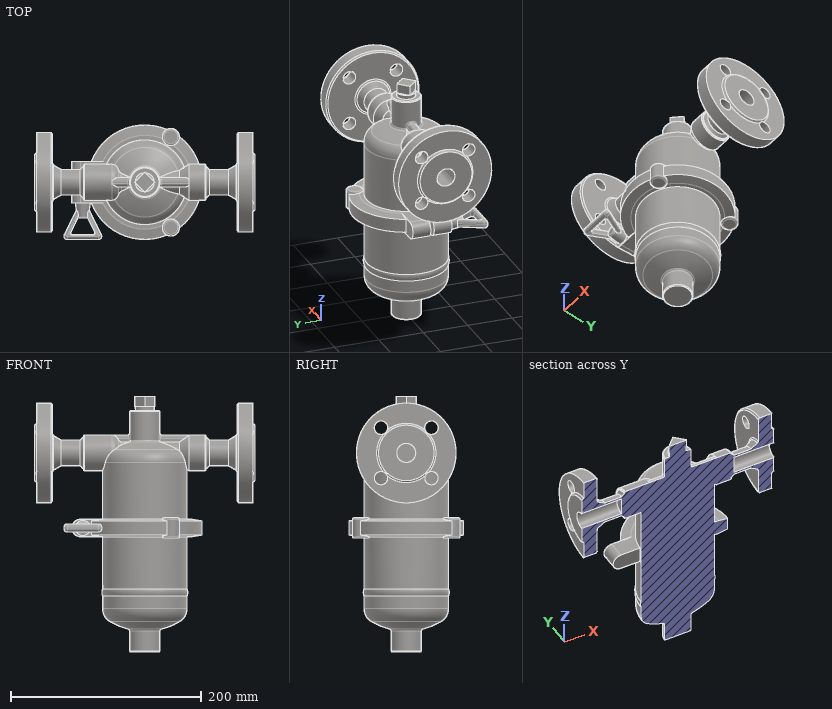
import cadquery as cq
import math


vessel_r = 89 / 2
knuckle_r = 16.0
crown_r = 72.0
top_tangent_z = -10.3
bottom_tangent_z = -163.7
nozzle_r = 32 / 2
nozzle_top_z = 44.5
nozzle_bottom_z = -209.5
nozzle_chamfer = 1.0
nozzle_fillet = 2.0
bead_z = -146.8
bead_half_height = 3.75
bead_rise = 0.8

plug_neck_r = 20 / 2
plug_head_z = 49.0
plug_top_z = 59.5
plug_square = 15.0

flange_face_x = 232 / 2
raised_face_height = 2.4
raised_face_tip_r = 58.4 / 2
raised_face_root_r = 62.4 / 2
flange_r = 105 / 2
flange_back_x = 97.0
flange_chamfer = 1.7
hub_fillet_r = 20.3
hub_large_r = 18.3
hub_large_x = 96.0
hub_small_x = 87.9
pipe_r = 27.2 / 2
bore_r = 20 / 2
bolt_hole_d = 14.0
bolt_circle_d = 75.0
bolt_count = 4
bolt_start_angle = 180 / bolt_count
weld_start_x = 67.9
weld_r = 17.0
socket_r = 38 / 2
socket_end_x = 64.6
socket_chamfer = 1.0
neck_r = 12.6
inlet_shoulder_x = 34.2
inlet_seam_x = 27.6
inlet_neck_x = 24.3
outlet_shoulder_x = 46.6
outlet_neck_x = 36.5

rib_width = 10.0
rib_edge_r = 3.6
rib_fillet = 2.0

clamp_z = -78.9
clamp_r = 120.62 / 2
clamp_flat_r = 49.3
clamp_height = 18.6
clamp_rim_height = 15.0
clamp_gap = 3.8
lug_half_width = 22.0
lug_axis_x = -67.5
hinge_circle_r = 55.0
hinge_angle = 60
hinge_r = 9.0
hinge_height = 21.6
hinge_edge_r = 1.8

handle_x = -65.1
stem_root_r = 7.9
stem_tip_r = 6.0
stem_tip_y = -37.6
stem_edge_r = 1.5
handle_end_y = -clamp_r
handle_top_y = -30.0
handle_end_half_width = 22.1
handle_leg_angle = 26.2
handle_height = 8.7
handle_wall = 5.2
handle_corner_r = 3.6
handle_outer_edge_r = 3.4
handle_inner_edge_r = 1.6
window_corner_r = 2.0


def dome_points():
    """Radius and height above the tangent line of the middle and end of the knuckle, then of the crown."""
    knuckle_centre_r = vessel_r - knuckle_r
    seam = math.acos(knuckle_centre_r / (crown_r - knuckle_r))
    crown_centre_h = -(crown_r - knuckle_r) * math.sin(seam)
    nozzle_angle = math.acos(nozzle_r / crown_r)

    def on_knuckle(angle):
        return knuckle_centre_r + knuckle_r * math.cos(angle), knuckle_r * math.sin(angle)

    def on_crown(angle):
        return crown_r * math.cos(angle), crown_centre_h + crown_r * math.sin(angle)

    return (
        on_knuckle(seam / 2),
        on_knuckle(seam),
        on_crown((seam + nozzle_angle) / 2),
        on_crown(nozzle_angle),
    )


def make_vessel():
    dome = dome_points()
    top = [(r, top_tangent_z + h) for r, h in dome]
    bottom = [(r, bottom_tangent_z - h) for r, h in dome]
    profile = (
        cq.Workplane("XZ")
        .moveTo(0, nozzle_bottom_z)
        .lineTo(nozzle_r - nozzle_chamfer, nozzle_bottom_z)
        .lineTo(nozzle_r, nozzle_bottom_z + nozzle_chamfer)
        .lineTo(*bottom[3])
        .threePointArc(bottom[2], bottom[1])
        .threePointArc(bottom[0], (vessel_r, bottom_tangent_z))
        .lineTo(vessel_r, bead_z - bead_half_height)
        .threePointArc((vessel_r + bead_rise, bead_z), (vessel_r, bead_z + bead_half_height))
        .lineTo(vessel_r, top_tangent_z)
        .threePointArc(top[0], top[1])
        .threePointArc(top[2], top[3])
        .lineTo(nozzle_r, nozzle_top_z - nozzle_chamfer)
        .lineTo(nozzle_r - nozzle_chamfer, nozzle_top_z)
        .lineTo(0, nozzle_top_z)
        .close()
    )
    vessel = profile.revolve(360, (0, 0, 0), (0, 1, 0))
    span = nozzle_r + nozzle_fillet
    reach = nozzle_fillet / 4
    for z in (top[3][1], bottom[3][1]):
        at_joint = cq.selectors.BoxSelector((-span, -span, z - reach), (span, span, z + reach))
        vessel = vessel.edges("%CIRCLE").edges(at_joint).fillet(nozzle_fillet)
    return vessel


def make_plug():
    neck = (
        cq.Workplane("XY")
        .workplane(offset=nozzle_top_z)
        .circle(plug_neck_r)
        .extrude(plug_head_z - nozzle_top_z)
    )
    head = (
        cq.Workplane("XY")
        .workplane(offset=plug_head_z)
        .transformed(rotate=(0, 0, 45))
        .rect(plug_square, plug_square)
        .extrude(plug_top_z - plug_head_z)
    )
    return neck.union(head)


def make_branch(shoulder_x):
    """Pipe branch along +X: neck, socket from shoulder_x, weld, pipe and flange, with its bore."""
    raised_face_root_x = flange_face_x - raised_face_height
    outline = [
        (0, 0),
        (0, neck_r),
        (shoulder_x, neck_r),
        (shoulder_x, socket_r),
        (socket_end_x - socket_chamfer, socket_r),
        (socket_end_x, socket_r - socket_chamfer),
        (socket_end_x, weld_r),
        (weld_start_x, pipe_r),
        (hub_small_x, pipe_r),
        (hub_large_x, hub_large_r),
        (flange_back_x, hub_fillet_r),
        (flange_back_x, flange_r - flange_chamfer),
        (flange_back_x + flange_chamfer, flange_r),
        (raised_face_root_x, flange_r),
        (raised_face_root_x, raised_face_root_r),
        (flange_face_x, raised_face_tip_r),
        (flange_face_x, 0),
    ]
    branch = cq.Workplane("XZ").polyline(outline).close().revolve(360, (0, 0, 0), (1, 0, 0))
    face = cq.Workplane("YZ").workplane(offset=flange_face_x)
    bore = face.circle(bore_r).extrude(weld_start_x - flange_face_x)
    bolt_holes = (
        face.polarArray(bolt_circle_d / 2, bolt_start_angle, 360, bolt_count)
        .circle(bolt_hole_d / 2)
        .extrude(flange_back_x - flange_face_x)
    )
    return branch.cut(bore).cut(bolt_holes)


def make_outlet_shoulder():
    """Straight cone from the neck to the socket, along +X."""
    return (
        cq.Workplane("XZ")
        .polyline([
            (outlet_neck_x, 0),
            (outlet_neck_x, neck_r),
            (outlet_shoulder_x, socket_r),
            (outlet_shoulder_x, 0),
        ])
        .close()
        .revolve(360, (0, 0, 0), (1, 0, 0))
    )


def make_inlet_shoulder():
    """S-curve along +X: a hollow arc off the neck running smoothly into a round arc onto the socket."""
    length = inlet_shoulder_x - inlet_neck_x
    turn = 2 * math.atan((socket_r - neck_r) / length)
    hollow_r = (inlet_seam_x - inlet_neck_x) / math.sin(turn)
    round_r = (inlet_shoulder_x - inlet_seam_x) / math.sin(turn)
    seam_r = neck_r + hollow_r * (1 - math.cos(turn))
    hollow_middle = (
        inlet_neck_x + hollow_r * math.sin(turn / 2),
        neck_r + hollow_r * (1 - math.cos(turn / 2)),
    )
    round_middle = (
        inlet_shoulder_x - round_r * math.sin(turn / 2),
        socket_r - round_r * (1 - math.cos(turn / 2)),
    )
    return (
        cq.Workplane("XZ")
        .moveTo(inlet_neck_x, 0)
        .lineTo(inlet_neck_x, neck_r)
        .threePointArc(hollow_middle, (inlet_seam_x, seam_r))
        .threePointArc(round_middle, (inlet_shoulder_x, socket_r))
        .lineTo(inlet_shoulder_x, 0)
        .close()
        .revolve(360, (0, 0, 0), (1, 0, 0))
    )


def make_rib(shoulder_x):
    """Rib along +X from the nozzle to the socket, level with the socket top and blended into the nozzle."""
    rib = (
        cq.Workplane("XY")
        .box(shoulder_x, rib_width, socket_r, centered=(False, True, False))
        .edges("|X and >Z")
        .fillet(rib_edge_r)
    )
    nozzle = cq.Workplane("XY").circle(nozzle_r).extrude(nozzle_top_z - nozzle_chamfer)
    at_joint = cq.selectors.BoxSelector(
        (nozzle_r - rib_fillet, -rib_width, rib_fillet),
        (nozzle_r + rib_fillet, rib_width, socket_r + rib_fillet),
    )
    return rib.union(nozzle).edges(at_joint).fillet(rib_fillet)


def make_clamp():
    half_height = clamp_height / 2
    half_rim = clamp_rim_height / 2
    ring_outline = [
        (0, -half_height),
        (clamp_flat_r, -half_height),
        (clamp_r, -half_rim),
        (clamp_r, half_rim),
        (clamp_flat_r, half_height),
        (0, half_height),
    ]
    ring = cq.Workplane("XZ").polyline(ring_outline).close().revolve(360, (0, 0, 0), (0, 1, 0))
    lug_width = 2 * lug_half_width
    lug = cq.Workplane("XY").box(-lug_axis_x, lug_width, clamp_height, centered=(False, True, True))
    barrel = cq.Workplane("XZ").circle(half_height).extrude(lug_half_width, both=True)
    lug = lug.union(barrel).translate((lug_axis_x, 0, 0))
    gap = cq.Workplane("XY").box(2 * clamp_r, clamp_gap, clamp_height).translate((-vessel_r - clamp_r, 0, 0))
    clamp = ring.union(lug).cut(gap)
    for angle in (hinge_angle, -hinge_angle):
        hinge = (
            cq.Workplane("XY")
            .circle(hinge_r)
            .extrude(hinge_height / 2, both=True)
            .faces("<Z or >Z")
            .edges()
            .fillet(hinge_edge_r)
        )
        x = hinge_circle_r * math.cos(math.radians(angle))
        y = hinge_circle_r * math.sin(math.radians(angle))
        clamp = clamp.union(hinge.translate((x, y, 0)))
    return clamp.translate((0, 0, clamp_z))


def make_handle():
    slope = math.tan(math.radians(handle_leg_angle))
    top_half_width = handle_end_half_width - (handle_top_y - handle_end_y) * slope
    plate = (
        cq.Workplane("XY")
        .polyline([
            (-top_half_width, handle_top_y),
            (top_half_width, handle_top_y),
            (handle_end_half_width, handle_end_y),
            (-handle_end_half_width, handle_end_y),
        ])
        .close()
        .extrude(handle_height / 2, both=True)
    )
    window = (
        plate.faces(">Z")
        .wires()
        .toPending()
        .offset2D(-handle_wall)
        .extrude(-handle_height, combine=False)
        .edges("|Z and <Y")
        .fillet(window_corner_r)
    )
    frame = (
        plate.edges("|Z and <Y")
        .fillet(handle_corner_r)
        .faces("<Z or >Z")
        .edges("not >Y")
        .fillet(handle_outer_edge_r)
        .cut(window)
    )
    window_edges = [
        edge
        for face in frame.faces("<Z or >Z").vals()
        for wire in face.innerWires()
        for edge in wire.Edges()
    ]
    frame = frame.newObject(window_edges).fillet(handle_inner_edge_r)
    stem = (
        cq.Workplane("XY")
        .polyline([(0, 0), (stem_root_r, -lug_half_width), (stem_tip_r, stem_tip_y), (0, stem_tip_y)])
        .close()
        .revolve(360, (0, 0, 0), (0, 1, 0))
        .edges("<Y")
        .fillet(stem_edge_r)
    )
    return frame.union(stem).translate((handle_x, 0, clamp_z))


def half_turn(body):
    return body.rotate((0, 0, 0), (0, 0, 1), 180)


result = (
    make_vessel()
    .union(make_plug())
    .union(make_rib(outlet_shoulder_x))
    .union(make_outlet_shoulder())
    .union(make_branch(outlet_shoulder_x))
    .union(half_turn(make_rib(inlet_shoulder_x)))
    .union(half_turn(make_inlet_shoulder()))
    .union(half_turn(make_branch(inlet_shoulder_x)))
    .union(make_clamp())
    .union(make_handle())
)